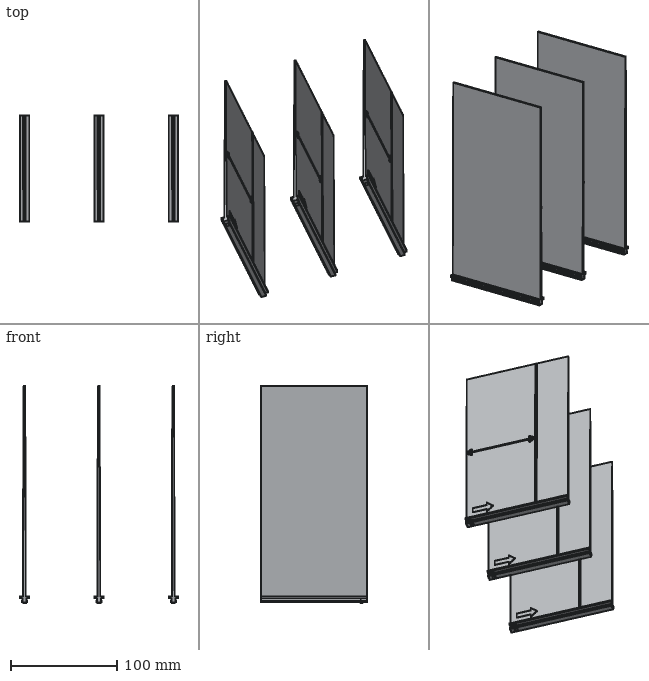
import cadquery as cq
import math

panel_count = 3
total_width = 149.0
depth = 100.0
total_height = 204.5

bump_height = 0.6
bead_width = 5.0
bead_height = 1.8
neck_width = 3.0
neck_height = 2.3
flange_width = 8.8
flange_height = 1.8
panel_base_half_width = 1.27
panel_top_half_width = 0.74

stop_length = 6.0
stop_width = 4.5
bump_length = 3.0
bump_width = 2.9
bump_from_back = 5.3

mark_height = 0.5
rib_width = 2.0
rib_slope_width = 0.6
rib_from_back = 67.5
rib_top_gap = 0.8
line_z = 100.5
line_width = 1.0
head_length = 5.5
head_half_height = 3.7
arrow_tail_from_back = 6.3
arrow_tip_from_back = 26.4
arrow_head_length = 6.1
arrow_shaft_height = 5.7
arrow_head_height = 12.3
arrow_z = 18.5

bead_bottom = bump_height
bead_top = bead_bottom + bead_height
flange_bottom = bead_top + neck_height
flange_top = flange_bottom + flange_height
panel_pitch = (total_width - flange_width) / (panel_count - 1)
panel_height = total_height - flange_top


def slab(width, z_low, z_high, y_low=0.0):
    """Box centred on X = 0 between two levels, from y_low to the back."""
    return (
        cq.Workplane("XY")
        .box(width, depth - y_low, z_high - z_low, centered=(True, False, False))
        .translate((0, y_low, z_low))
    )


def tapered_panel(extra=0.0):
    """Panel with sloping sides; extra moves the left side outwards."""
    return (
        cq.Workplane("XZ")
        .moveTo(-panel_base_half_width - extra, flange_top)
        .lineTo(panel_base_half_width, flange_top)
        .lineTo(panel_top_half_width, total_height)
        .lineTo(-panel_top_half_width - extra, total_height)
        .close()
        .extrude(-depth)
    )


def mark_prism(points):
    """Prism along X over the left half, from (distance from back, z) points."""
    outline = [(depth - back, z) for back, z in points]
    return cq.Workplane("YZ").polyline(outline).close().extrude(-panel_base_half_width - mark_height)


def stroke(start, end):
    """Straight bar of the line width between two (distance from back, z) points."""
    run = end[0] - start[0]
    rise = end[1] - start[1]
    length = math.hypot(run, rise)
    side_y = -rise / length * line_width / 2
    side_z = run / length * line_width / 2
    return mark_prism([
        (start[0] + side_y, start[1] + side_z),
        (end[0] + side_y, end[1] + side_z),
        (end[0] - side_y, end[1] - side_z),
        (start[0] - side_y, start[1] - side_z),
    ])


def span_line_mark():
    """Double-headed arrow between the back edge and the rib."""
    mark = stroke((0, line_z), (rib_from_back, line_z))
    for tip, direction in ((0, 1), (rib_from_back, -1)):
        tail = tip + direction * head_length
        for side in (1, -1):
            mark = mark.union(stroke((tip, line_z), (tail, line_z + side * head_half_height)))
    return mark


def block_arrow_mark():
    """Solid arrow pointing towards the front, low on the panel."""
    head_base = arrow_tip_from_back - arrow_head_length
    shaft = arrow_shaft_height / 2
    head = arrow_head_height / 2
    return mark_prism([
        (arrow_tail_from_back, arrow_z - shaft),
        (head_base, arrow_z - shaft),
        (head_base, arrow_z - head),
        (arrow_tip_from_back, arrow_z),
        (head_base, arrow_z + head),
        (head_base, arrow_z + shaft),
        (arrow_tail_from_back, arrow_z + shaft),
    ])


def rib():
    """Upright rib on the tapered left side; its back flank slopes."""
    rib_back = depth - rib_from_back
    rib_front = rib_back - rib_width
    rib_top = total_height - rib_top_gap
    lean = (panel_base_half_width - panel_top_half_width) / panel_height

    def section(z):
        side = -panel_base_half_width + lean * (z - flange_top)
        return [
            cq.Vector(0, rib_back, z),
            cq.Vector(side, rib_back, z),
            cq.Vector(side - mark_height, rib_back - rib_slope_width, z),
            cq.Vector(side - mark_height, rib_front, z),
            cq.Vector(0, rib_front, z),
        ]

    wires = [cq.Wire.makePolygon(section(z), close=True) for z in (flange_top, rib_top)]
    return cq.Workplane("XY").add(cq.Solid.makeLoft(wires, True))


def bump():
    """Low half-round bar across the underside of the bead."""
    middle = depth - bump_from_back
    return (
        cq.Workplane("YZ")
        .moveTo(middle - bump_length / 2, bead_bottom)
        .threePointArc((middle, 0), (middle + bump_length / 2, bead_bottom))
        .close()
        .extrude(bump_width / 2, both=True)
    )


def foot():
    """Flange, neck and bead running the full depth, with the stop block and bump."""
    bead = slab(bead_width, bead_bottom, bead_top)
    neck = slab(neck_width, bead_top, flange_bottom)
    flange = slab(flange_width, flange_bottom, flange_top)
    stop = slab(stop_width, bead_top, flange_bottom, depth - stop_length)
    return bead.union(neck).union(flange).union(stop).union(bump())


def divider():
    """One complete divider centred on X = 0."""
    flat_marks = span_line_mark().union(block_arrow_mark())
    raised_marks = tapered_panel(mark_height).intersect(flat_marks)
    return foot().union(tapered_panel()).union(rib()).union(raised_marks)


dividers = []
for index in range(panel_count):
    dividers.append(divider().translate((index * panel_pitch, 0, 0)).val())

result = cq.Compound.makeCompound(dividers)